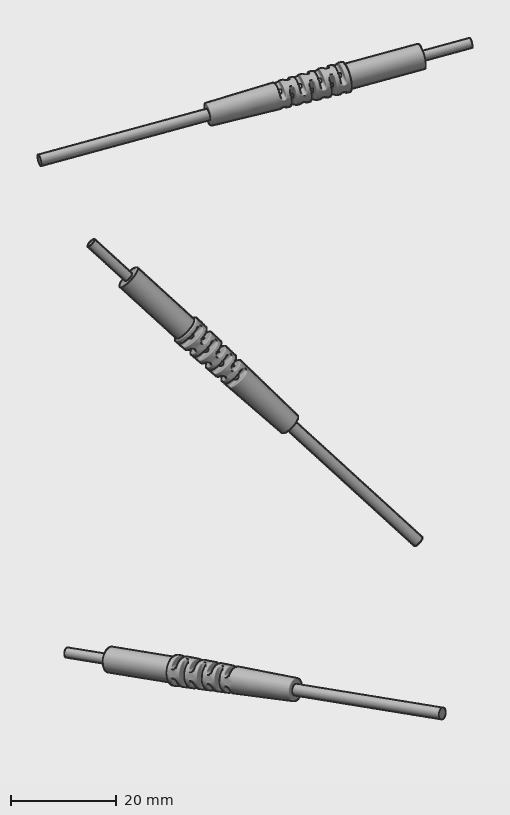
import cadquery as cq


pin_diameter = 2.0
pin_length = 10.0

sleeve_diameter = 5.0
sleeve_length = 15.0

boot_length = 28.0
boot_wide_diameter = 6.0
boot_narrow_diameter = 4.5
boot_wide_rounding = 0.3
boot_narrow_rounding = 0.2

slot_count = 7
slot_width = 1.05
slot_pitch = 2.0
first_slot_offset = 1.55
slot_floor_distance = 0.98
slot_rim_rounding = 0.2

cable_diameter = 2.3
cable_free_length = 34.0


def cylinder_along_y(diameter, start, end):
    """Round bar on the Y axis from Y = start up to Y = end."""
    bar = cq.Workplane("XZ", origin=(0, end, 0))
    return bar.circle(diameter / 2).extrude(end - start)


def boot_cone():
    """Tapered boot body with both end rims rounded."""
    half_outline = [
        (0, 0),
        (boot_wide_diameter / 2, 0),
        (boot_narrow_diameter / 2, -boot_length),
        (0, -boot_length),
    ]
    cone = cq.Workplane("XY").polyline(half_outline).close().revolve(360, (0, 0, 0), (0, 1, 0))
    cone = cone.faces(">Y").edges().fillet(boot_wide_rounding)
    return cone.faces("<Y").edges().fillet(boot_narrow_rounding)


def slot_cutter(slot_y, side):
    """Round-bottomed slot running along X, open toward +Z (side = 1) or -Z (side = -1)."""
    radius = slot_width / 2
    floor_z = side * slot_floor_distance
    arc_z = side * (slot_floor_distance + radius)
    open_z = side * boot_wide_diameter
    profile = (
        cq.Workplane("YZ")
        .moveTo(slot_y - radius, open_z)
        .lineTo(slot_y - radius, arc_z)
        .threePointArc((slot_y, floor_z), (slot_y + radius, arc_z))
        .lineTo(slot_y + radius, open_z)
        .close()
    )
    return profile.extrude(boot_wide_diameter, both=True)


def slotted_boot():
    """Boot with its slots and their rounded rims, before the cable bore is cut."""
    boot = boot_cone()
    for index in range(slot_count):
        slot_y = -(first_slot_offset + index * slot_pitch)
        quarter_turn = 90 * (index % 2)
        for side in (1, -1):
            cutter = slot_cutter(slot_y, side)
            boot = boot.cut(cutter.rotate((0, 0, 0), (0, 1, 0), quarter_turn))
    slot_rims = boot.faces("%CONE").edges("%BSPLINE")
    return slot_rims.fillet(slot_rim_rounding)


pin = cylinder_along_y(pin_diameter, sleeve_length, sleeve_length + pin_length)
sleeve = cylinder_along_y(sleeve_diameter, 0, sleeve_length)
cable = cylinder_along_y(cable_diameter, -boot_length - cable_free_length, 0)
boot = slotted_boot().cut(cable)

result = cq.Compound.makeCompound([pin.val(), sleeve.val(), boot.val(), cable.val()])